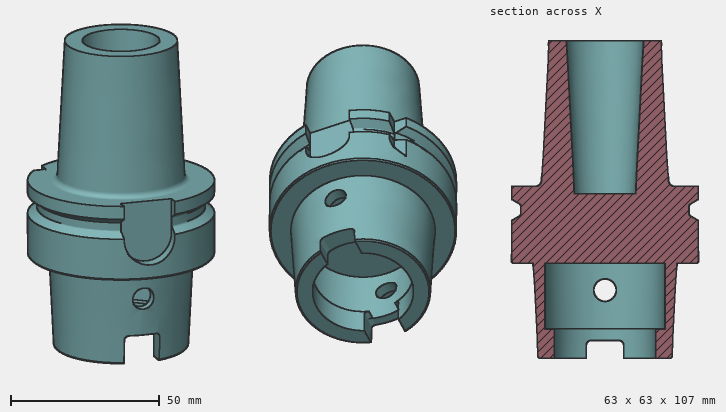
import cadquery as cq
import math


NOSE_TOP_Z = 75.0
NOSE_TOP_RADIUS = 19.0
NOSE_SLOPE = math.tan(math.radians(3.0))
NOSE_ROOT_FILLET = 2.0
BORE_TOP_RADIUS = 13.0
BORE_FLOOR_RADIUS = 10.3
BORE_DEPTH = (BORE_TOP_RADIUS - BORE_FLOOR_RADIUS) / NOSE_SLOPE

FLANGE_RADIUS = 31.5
FLANGE_HEIGHT = 26.0
FLANGE_CHAMFER = 0.5
GROOVE_Z = 18.0
GROOVE_WIDTH = 7.0
GROOVE_FLANK_ANGLE = math.radians(30.0)
GROOVE_FLOOR_RADIUS = 28.4
GROOVE_FILLET = 0.6
GROOVE_FLANK_RISE = (FLANGE_RADIUS - GROOVE_FLOOR_RADIUS) * math.tan(GROOVE_FLANK_ANGLE)
GROOVE_FLOOR_WIDTH = GROOVE_WIDTH - 2 * GROOVE_FLANK_RISE

SHANK_LENGTH = 32.0
SHANK_TOP_RADIUS = 24.32
SHANK_SLOPE = 1 / 20
SHANK_BOTTOM_RADIUS = SHANK_TOP_RADIUS - SHANK_LENGTH * SHANK_SLOPE
SHANK_CHAMFER = 0.5
SHANK_MOUTH_RADIUS = 17.0
SHANK_CHAMBER_RADIUS = 20.2
CROSS_HOLE_DIAMETER = 7.5
CROSS_HOLE_Z = -9.0

KEYWAY_FLOOR_X = 26.5
LEFT_KEYWAY_WIDTH = 16.0
RIGHT_KEYWAY_WIDTH = 18.0
KEYWAY_BOTTOM_Z = 5.0

NOTCH_CORNER = 20.0

DRIVE_SLOT_WIDTH = 12.5
DRIVE_SLOT_FILLET = 1.5
LEFT_DRIVE_SLOT_DEPTH = 6.0
RIGHT_DRIVE_SLOT_DEPTH = 10.0


def revolve_profile(profile):
    """Turn a closed (radius, Z) outline drawn on XZ about the Z axis."""
    return profile.close().revolve(360, (0, 0, 0), (0, 1, 0))


def make_nose():
    """Tapered nose, standing on the flange with a filleted root."""
    root_radius = NOSE_TOP_RADIUS + (NOSE_TOP_Z - FLANGE_HEIGHT) * NOSE_SLOPE
    return revolve_profile(
        cq.Workplane("XZ")
        .moveTo(0, FLANGE_HEIGHT)
        .lineTo(root_radius, FLANGE_HEIGHT)
        .lineTo(NOSE_TOP_RADIUS, NOSE_TOP_Z)
        .lineTo(0, NOSE_TOP_Z)
    )


def make_flange():
    """Plain disc with a chamfered lower rim."""
    disc = cq.Workplane("XY").circle(FLANGE_RADIUS).extrude(FLANGE_HEIGHT)
    return disc.faces("<Z").chamfer(FLANGE_CHAMFER)


def make_shank():
    """Tapered shank with a chamfered lower rim."""
    cone = revolve_profile(
        cq.Workplane("XZ")
        .lineTo(SHANK_TOP_RADIUS, 0)
        .lineTo(SHANK_BOTTOM_RADIUS, -SHANK_LENGTH)
        .lineTo(0, -SHANK_LENGTH)
    )
    return cone.faces("<Z").chamfer(SHANK_CHAMFER)


def make_gripper_groove():
    """Ring with sloping flanks and a rounded floor."""
    ring = revolve_profile(
        cq.Workplane("XZ")
        .moveTo(FLANGE_RADIUS, GROOVE_Z - GROOVE_WIDTH / 2)
        .lineTo(GROOVE_FLOOR_RADIUS, GROOVE_Z - GROOVE_FLOOR_WIDTH / 2)
        .lineTo(GROOVE_FLOOR_RADIUS, GROOVE_Z + GROOVE_FLOOR_WIDTH / 2)
        .lineTo(FLANGE_RADIUS, GROOVE_Z + GROOVE_WIDTH / 2)
    )
    floor_edges = cq.selectors.RadiusNthSelector(0)
    return ring.edges("%CIRCLE").edges(floor_edges).fillet(GROOVE_FILLET)


def make_nose_bore():
    """Blind bore narrowing downwards from the nose face."""
    floor_z = NOSE_TOP_Z - BORE_DEPTH
    return revolve_profile(
        cq.Workplane("XZ")
        .moveTo(0, floor_z)
        .lineTo(BORE_FLOOR_RADIUS, floor_z)
        .lineTo(BORE_TOP_RADIUS, NOSE_TOP_Z)
        .lineTo(0, NOSE_TOP_Z)
    )


def make_keyway(width, center_y, inner_x, side):
    """Round-bottomed slot along X, from inner_x out past the rim; side is -1 or +1."""
    radius = width / 2
    center_z = KEYWAY_BOTTOM_Z + radius
    outline = (
        cq.Workplane("YZ", origin=(side * inner_x, 0, 0))
        .moveTo(center_y - radius, FLANGE_HEIGHT)
        .lineTo(center_y - radius, center_z)
        .threePointArc((center_y, KEYWAY_BOTTOM_Z), (center_y + radius, center_z))
        .lineTo(center_y + radius, FLANGE_HEIGHT)
        .close()
    )
    return outline.extrude(side * (FLANGE_RADIUS - inner_x))


def make_drive_slot(depth, side):
    """Slot through one shank wall, open downwards, with rounded upper corners."""
    slot = cq.Workplane("XY").box(
        SHANK_TOP_RADIUS, DRIVE_SLOT_WIDTH, depth, centered=(False, True, False)
    )
    slot = slot.edges("|X and >Z").fillet(DRIVE_SLOT_FILLET)
    if side < 0:
        slot = slot.mirror("YZ")
    return slot.translate((0, 0, -SHANK_LENGTH))


def make_shank_cavity():
    """Hollow inside of the shank: a narrower mouth opening into a wider chamber."""
    shoulder_z = RIGHT_DRIVE_SLOT_DEPTH - SHANK_LENGTH
    chamber = cq.Workplane("XY").circle(SHANK_CHAMBER_RADIUS).extrude(shoulder_z)
    mouth = cq.Workplane("XY").circle(SHANK_MOUTH_RADIUS).extrude(-SHANK_LENGTH)
    return chamber.union(mouth)


def make_cross_hole():
    """Hole along X through both shank walls."""
    hole = cq.Workplane("YZ", origin=(0, 0, CROSS_HOLE_Z)).circle(CROSS_HOLE_DIAMETER / 2)
    return hole.extrude(SHANK_TOP_RADIUS, both=True)


body = make_flange().union(make_nose())
nose_root = cq.selectors.RadiusNthSelector(0)
body = body.faces("+Z").faces("<Z").edges(nose_root).fillet(NOSE_ROOT_FILLET)

result = body.union(make_shank())
result = result.cut(make_gripper_groove())
result = result.cut(make_nose_bore())
result = result.cut(make_shank_cavity())
result = result.cut(make_cross_hole())
result = result.cut(make_keyway(LEFT_KEYWAY_WIDTH, 0, KEYWAY_FLOOR_X, -1))
result = result.cut(make_keyway(RIGHT_KEYWAY_WIDTH, 0, KEYWAY_FLOOR_X, 1))
notch_center_y = -NOTCH_CORNER - LEFT_KEYWAY_WIDTH / 2
result = result.cut(make_keyway(LEFT_KEYWAY_WIDTH, notch_center_y, NOTCH_CORNER, -1))
result = result.cut(make_drive_slot(LEFT_DRIVE_SLOT_DEPTH, -1))
result = result.cut(make_drive_slot(RIGHT_DRIVE_SLOT_DEPTH, 1))